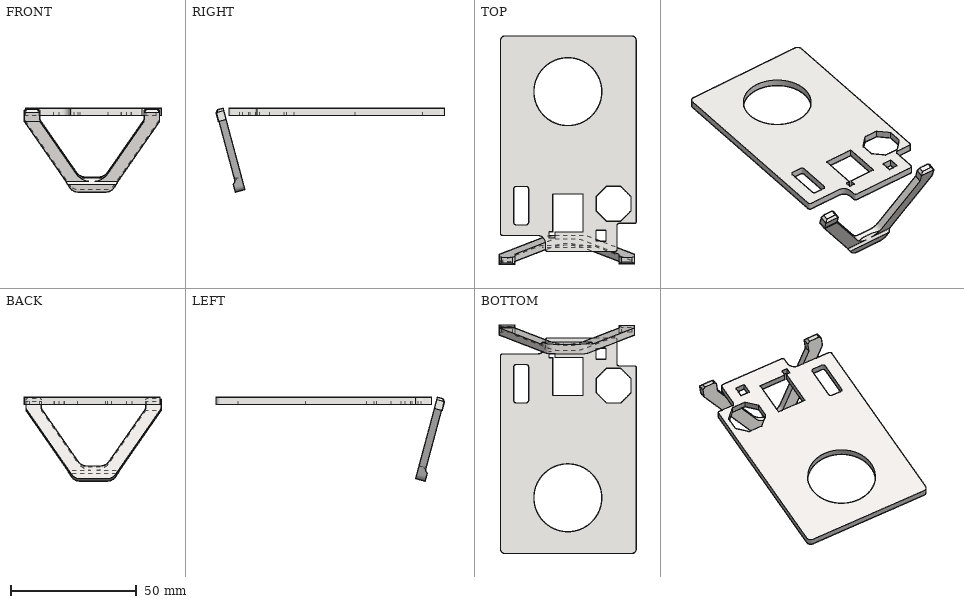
import cadquery as cq
import math

plate_width = 53.9
plate_back = 85.6
plate_thickness = 3.0
left_front = 6.35
right_front = 11.2
tab_left = 17.9
tab_right = 46.3
tab_relief_radius = 3.2
back_corner_radius = 1.8
front_corner_radius = 0.9
wing_corner_radius = 0.5

round_hole_diameter = 26.9
round_hole_center = (26.8, 63.4)

octagon_across_flats = 13.7
octagon_center = (44.9, 19.0)

slot_min = (5.35, 10.6)
slot_max = (11.2, 25.8)
slot_corner_radius = 0.9

window_min = (20.9, 7.8)
window_max = (32.75, 22.8)
notch_min = (19.3, 5.4)
notch_max = (21.6, window_min[1])
small_window_min = (38.0, 4.2)
small_window_max = (41.8, 8.4)

stand_center_x = 26.4
stand_top_back_y = -2.3
tilt = 15
stand_height = 33.5
stand_half_width = 26.9
leg_width = 6.2
leg_thickness = 3.0
pad_height = 4.6
left_pad_step = 0.3
pad_chamfer = 1.0
leg_run_per_rise = 0.67

foot_thickness = 4.0
foot_height = 3.3
bar_height = 5.3
foot_corner_radius = 4.0
leg_root_radius = 4.0

leg_run = leg_run_per_rise * (stand_height - pad_height)
foot_top = foot_height - stand_height
bar_top = bar_height - stand_height


def box_between(low, high):
    """Cutter through the plate with opposite corners at low and high."""
    return (
        cq.Workplane("XY")
        .box(high[0] - low[0], high[1] - low[1], plate_thickness, centered=False)
        .translate((low[0], low[1], -plate_thickness))
    )


def octagon_cutter():
    across_corners = octagon_across_flats / math.cos(math.pi / 8)
    return (
        cq.Workplane("XY")
        .polygon(8, across_corners)
        .extrude(-plate_thickness)
        .rotate((0, 0, 0), (0, 0, 1), 180 / 8)
        .translate((*octagon_center, 0))
    )


def plate_outline():
    arc_offset = tab_relief_radius * math.sqrt(0.5)
    arc_center = (tab_left - tab_relief_radius, left_front - tab_relief_radius)
    return (
        cq.Workplane("XY")
        .moveTo(0, left_front)
        .lineTo(arc_center[0], left_front)
        .threePointArc(
            (arc_center[0] + arc_offset, arc_center[1] + arc_offset),
            (tab_left, arc_center[1]),
        )
        .lineTo(tab_left, 0)
        .lineTo(tab_right, 0)
        .lineTo(tab_right, right_front)
        .lineTo(plate_width, right_front)
        .lineTo(plate_width, plate_back)
        .lineTo(0, plate_back)
        .close()
    )


def corner_edges(body, points):
    """Upright edges of the plate that pass through the given corners."""
    edges = body.edges("|Z").vals()
    near = [
        edge for edge in edges
        if any(math.dist(edge.Center().toTuple()[:2], point) < 0.01 for point in points)
    ]
    return body.newObject(near)


def make_plate():
    body = plate_outline().extrude(-plate_thickness)
    back_corners = [(0, plate_back), (plate_width, plate_back)]
    front_corners = [
        (0, left_front),
        (tab_left, 0),
        (tab_right, 0),
        (tab_right, right_front),
    ]
    body = corner_edges(body, back_corners).fillet(back_corner_radius)
    body = corner_edges(body, front_corners).fillet(front_corner_radius)
    body = corner_edges(body, [(plate_width, right_front)]).fillet(wing_corner_radius)

    round_hole = (
        cq.Workplane("XY")
        .center(*round_hole_center)
        .circle(round_hole_diameter / 2)
        .extrude(-plate_thickness)
    )
    slot = box_between(slot_min, slot_max).edges("|Z").fillet(slot_corner_radius)
    return (
        body.cut(round_hole)
        .cut(octagon_cutter())
        .cut(slot)
        .cut(box_between(window_min, window_max))
        .cut(box_between(notch_min, notch_max))
        .cut(box_between(small_window_min, small_window_max))
    )


def tapered_prism(top_half_width, thickness):
    """Prism narrowing downward at the slope of the legs, from the pads to the foot."""
    bottom_half_width = top_half_width - leg_run
    return (
        cq.Workplane("XY")
        .polyline([
            (-top_half_width, -pad_height),
            (-bottom_half_width, -stand_height),
            (bottom_half_width, -stand_height),
            (top_half_width, -pad_height),
        ])
        .close()
        .extrude(thickness)
    )


def side_prism(points):
    """Prism across the full width of the stand from (height, depth) points."""
    return cq.Workplane("YZ").polyline(points).close().extrude(stand_half_width, both=True)


def make_pad(side, pad_step):
    """Pad on top of a leg; side is -1 for the left one and +1 for the right one."""
    return (
        cq.Workplane("XY")
        .box(leg_width, pad_height, leg_thickness + pad_step, centered=(True, False, False))
        .translate((side * (stand_half_width - leg_width / 2), -pad_height, 0))
        .faces(">Y")
        .edges("not <Z")
        .chamfer(pad_chamfer)
    )


def make_foot():
    """Thick foot below the legs; a 45-degree ledge leads from its front up to the legs."""
    ledge_top = foot_top + foot_thickness - leg_thickness
    profile = side_prism([
        (-stand_height, 0),
        (-stand_height, foot_thickness),
        (foot_top, foot_thickness),
        (ledge_top, leg_thickness),
        (ledge_top, 0),
    ])
    return profile.intersect(tapered_prism(stand_half_width, foot_thickness))


def opening_above(floor_points, floor_normal):
    """Space between the legs above a floor, with its two lower corners rounded."""
    space = tapered_prism(stand_half_width - leg_width, foot_thickness)
    space = space.intersect(side_prism(floor_points))
    floor = space.faces(cq.DirectionMinMaxSelector(floor_normal, True))
    return floor.edges("<X or >X").fillet(leg_root_radius)


def make_opening():
    """Opening between the legs: a flat floor at the back and a 45-degree ramp at the front."""
    ramp_back = foot_top + foot_thickness
    flat = opening_above([
        (bar_top, 0),
        (bar_top, foot_thickness),
        (-pad_height, foot_thickness),
        (-pad_height, 0),
    ], cq.Vector(0, -1, 0))
    ramp = opening_above([
        (ramp_back, 0),
        (foot_top, foot_thickness),
        (-pad_height, foot_thickness),
        (-pad_height, 0),
    ], cq.Vector(0, -1, -1))
    return flat.union(ramp)


def make_stand():
    body = (
        tapered_prism(stand_half_width, leg_thickness)
        .union(make_foot())
        .cut(make_opening())
        .union(make_pad(-1, left_pad_step))
        .union(make_pad(1, 0))
    )
    body = body.faces("<Y").edges("<X or >X").fillet(foot_corner_radius)
    return (
        body.rotate((0, 0, 0), (1, 0, 0), 90 + tilt)
        .translate((stand_center_x, stand_top_back_y, 0))
    )


plate = make_plate()
stand = make_stand()
result = cq.Compound.makeCompound([plate.val(), stand.val()])